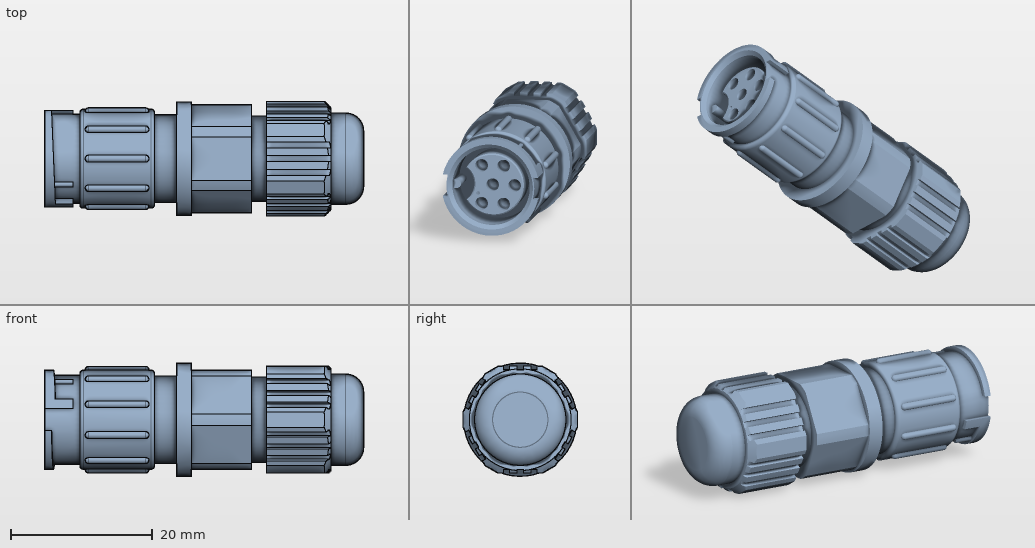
import cadquery as cq
import math

length = 45.0

ring_start = 4.95
ring_end = 15.5
collar_start = 18.6
hex_start = 20.7
hex_end = 29.2
nut_start = 31.25
nut_end = 40.4

tube_radius = 6.3
front_neck_radius = 6.2
collar_radius = 8.0
rear_neck_radius = 6.05
dome_radius = 6.45
dome_fillet = 2.55

hex_sides = 6
hex_across_flats = 14.0
hex_corner_radius = 7.65

ring_radius = 7.0
ring_edge_fillet = 0.5
rib_count = 10
rib_radius = 0.5
rib_offset = 7.03
rib_end_fillet = 0.495
rib_start = 5.7
rib_end = 14.7

flange_radius = 7.0
flange_thin = 0.95
flange_thick = 1.53
flange_gap_half = 1.55
bayonet_reach = 4.0
stop_height = 1.35
bump_radius = 0.35
bump_y = -3.64
bump_z = 5.31

socket_radius = 5.55
socket_chamfer = 0.55
socket_depth = 6.0
insert_radius = 4.45
insert_face = 1.8
insert_edge_chamfer = 0.18
notch_radius = 2.9
key_radius = 0.6
key_offset = 5.1
key_face = 1.6
contact_circle_radius = 3.15
contact_angles = [0, 60, 120, 240, 300]
contact_bore_radius = 0.9
contact_bore_depth = 1.4
dimple_radius = 0.6
dimple_depth = 0.6
marker_radius = 0.27
marker_depth = 0.3
marker_y = 2.1
marker_z = -1.27

nut_across_lobes = 16.2
nut_across_flats = 15.1
slot_width = 0.86
slot_pitch = 1.93
slot_floor = 7.05
nut_chamfer = 0.92


def cylinder(start, end, radius, y=0.0, z=0.0):
    """Cylinder along X whose axis passes through (y, z)."""
    plane = cq.Plane(origin=(start, y, z), xDir=(0, 1, 0), normal=(1, 0, 0))
    return cq.Workplane(plane).circle(radius).extrude(end - start)


def cone(start, end, start_radius, end_radius):
    """Cone or cone frustum on the X axis."""
    base = cq.Vector(start, 0, 0)
    x_axis = cq.Vector(1, 0, 0)
    return cq.Workplane(cq.Solid.makeCone(start_radius, end_radius, end - start, base, x_axis))


def box(start, end, y_low, y_high, z_low, z_high):
    """Box given by its limits along each axis."""
    size = (end - start, y_high - y_low, z_high - z_low)
    return cq.Workplane("XY").box(*size, centered=False).translate((start, y_low, z_low))


def turned(shape, angle):
    """Shape turned about the X axis."""
    return shape.rotate((0, 0, 0), (1, 0, 0), angle)


def make_body():
    """Round sections from the tube at the front to the dome at the rear."""
    body = cylinder(0, ring_start, tube_radius)
    body = body.union(cylinder(ring_start, collar_start, front_neck_radius))
    body = body.union(cylinder(collar_start, hex_start, collar_radius))
    body = body.union(cylinder(hex_start, nut_start, rear_neck_radius))
    dome = cylinder(nut_start, length, dome_radius).faces(">X").edges().fillet(dome_fillet)
    return body.union(dome)


def hexagon(start, end, across_flats):
    """Hexagonal prism along X with one pair of flats square to Z."""
    across_corners = across_flats / math.cos(math.pi / hex_sides)
    profile = cq.Workplane("YZ", origin=(start, 0, 0)).polygon(hex_sides, across_corners)
    return profile.extrude(end - start)


def make_hex_grip():
    """Hexagon with its corners turned down to a cylinder."""
    envelope = cylinder(hex_start, hex_end, hex_corner_radius)
    return hexagon(hex_start, hex_end, hex_across_flats).intersect(envelope)


def make_coupling_ring():
    """Rounded ring carrying evenly spaced ribs with ball ends."""
    ring = cylinder(ring_start, ring_end, ring_radius).edges().fillet(ring_edge_fillet)
    rib = cylinder(rib_start, rib_end, rib_radius, z=rib_offset).edges().fillet(rib_end_fillet)
    for index in range(rib_count):
        ring = ring.union(turned(rib, index * 360 / rib_count))
    return ring


def make_bayonet_half():
    """Upper half flange with its stop and its locking bump on the -Y side."""
    flange = (
        cq.Workplane("XY", origin=(0, 0, flange_gap_half))
        .moveTo(0, -flange_radius)
        .lineTo(flange_thick, -flange_radius)
        .lineTo(flange_thin, flange_radius)
        .lineTo(0, flange_radius)
        .close()
        .extrude(flange_radius)
    )
    stop_top = flange_gap_half + stop_height
    stop = box(0, bayonet_reach, -flange_radius, 0, flange_gap_half, stop_top)
    bump = cylinder(0, bayonet_reach, bump_radius, bump_y, bump_z)
    envelope = cylinder(0, bayonet_reach, flange_radius)
    return flange.union(stop).union(bump).intersect(envelope)


def make_nut():
    """Twelve-sided clamping nut, slotted on alternate flats and chamfered at the rear."""
    nut = hexagon(nut_start, nut_end, nut_across_flats)
    side_angle = 360 / hex_sides
    lobes = turned(hexagon(nut_start, nut_end, nut_across_lobes), side_angle / 2)
    nut = nut.intersect(lobes)
    half_width = slot_width / 2
    flat_height = nut_across_flats / 2
    for index in range(hex_sides):
        for y in (-slot_pitch, 0, slot_pitch):
            slot = box(nut_start, nut_end, y - half_width, y + half_width, slot_floor, flat_height)
            nut = nut.cut(turned(slot, index * side_angle))
    lobe_radius = nut_across_lobes / 2
    envelope = cylinder(nut_start, nut_end, lobe_radius + nut_chamfer).faces(">X").chamfer(2 * nut_chamfer)
    return nut.intersect(envelope)


def make_socket():
    """Hollow at the front, less the key along its wall."""
    socket = cylinder(0, socket_depth, socket_radius)
    socket = socket.union(cone(0, socket_chamfer, socket_radius + socket_chamfer, socket_radius))
    key = cylinder(key_face, socket_depth, key_radius, y=key_offset)
    key_root = box(key_face, socket_depth, key_offset, socket_radius, -key_radius, key_radius)
    return socket.cut(key).cut(key_root)


def make_contact_cavity():
    """Blind hole for one contact, ending in a conical dimple, on the X axis."""
    bore_end = insert_face + contact_bore_depth
    cavity = cylinder(insert_face, bore_end, contact_bore_radius)
    return cavity.union(cone(bore_end, bore_end + dimple_depth, dimple_radius, 0))


def make_insert():
    """Contact carrier with a round key notch on the +Y side."""
    insert = cylinder(insert_face, socket_depth, insert_radius)
    insert = insert.cut(cylinder(insert_face, socket_depth, notch_radius, y=socket_radius))
    insert = insert.faces("<X").edges().chamfer(insert_edge_chamfer)
    cavity = make_contact_cavity()
    insert = insert.cut(cavity)
    for angle in contact_angles:
        outer_cavity = cavity.translate((0, -contact_circle_radius, 0))
        insert = insert.cut(turned(outer_cavity, angle))
    marker_end = insert_face + marker_depth
    return insert.cut(cylinder(insert_face, marker_end, marker_radius, marker_y, marker_z))


bayonet_half = make_bayonet_half()
result = make_body().union(make_hex_grip()).union(make_coupling_ring()).union(make_nut())
result = result.union(bayonet_half).union(turned(bayonet_half, 180))
result = result.cut(make_socket()).union(make_insert())